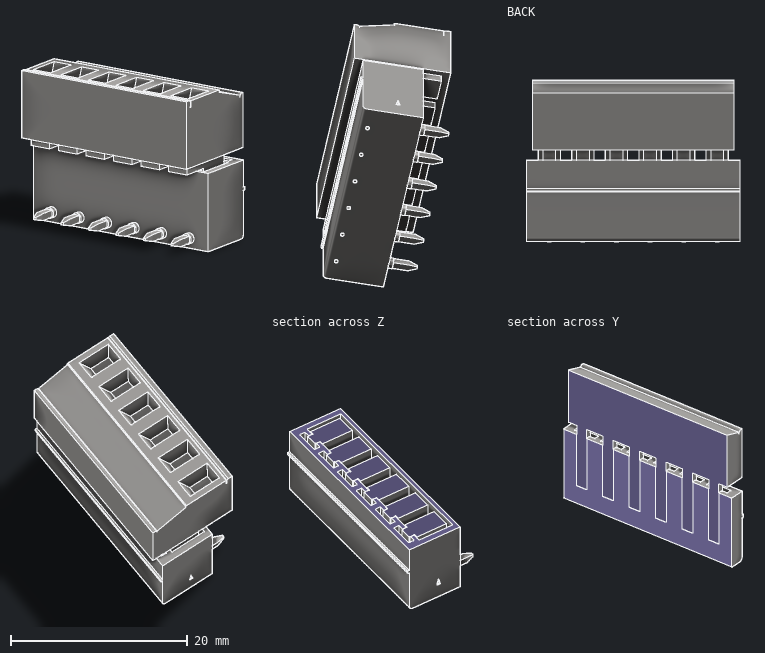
import cadquery as cq


OVERLAP = 0.12

POLE_COUNT = 6
PLUG_LENGTH = 22.87
PITCH = PLUG_LENGTH / POLE_COUNT
POLE_X = [(i - (POLE_COUNT - 1) / 2) * PITCH for i in range(POLE_COUNT)]

HEADER_LENGTH = 24.25
HEADER_DEPTH = 6.98
HEADER_HEIGHT = 9.25
HEADER_FILLET = 0.48
CAVITY_LENGTH = 22.6
CAVITY_FRONT = 0.53
CAVITY_BACK = 5.07
CAVITY_FLOOR = 2.42

KEYWAY_WIDTH = 2.95
KEYWAY_FRONT = 5.63
KEYWAY_BACK = 6.3
KEY_WIDTH = 1.45

RAIL_BOTTOM = 5.6
RAIL_TOP = 6.05
RAIL_HEIGHT = 0.25
RAIL_CHAMFER = 0.12

PIN_Z = 1.21
COLLAR_DIAMETER = 1.24
COLLAR_LENGTH = 0.58
PIN_WIDTH = 0.82
PIN_LENGTH = 3.42
PIN_TAPER_LENGTH = 1.02
PIN_TIP_WIDTH = 0.3

FOOT_DIAMETER = 0.41
FOOT_HEIGHT = 0.07
FOOT_Y = (KEYWAY_FRONT + KEYWAY_BACK) / 2

MARK_Y = 2.93
MARK_Z = 1.85
MARK_WIDTH = 0.41
MARK_HEIGHT = 0.75
MARK_DEPTH = 0.12

PLUG_FRONT = -3.3
PLUG_BACK = 7.85
PLUG_BOTTOM = 10.38
PLUG_DECK = 18.25

FRONT_LIP_TOP = 18.33
FRONT_LIP_BACK = -2.75
FRONT_LIP_BEVEL_WIDTH = 0.22
FRONT_LIP_BEVEL_DROP = 0.12
SLIT_WIDTH = 0.07
SLIT_BOTTOM = 17.5
SLIT_FRONT = FRONT_LIP_BACK + FRONT_LIP_BEVEL_WIDTH
SLIT_BACK = SLIT_FRONT + SLIT_WIDTH

DECK_BACK = 3.25
DECK_BEVEL_WIDTH = 0.12
DECK_BEVEL_DROP = 0.05
SLOPE_TOP_Y = 3.18
SLOPE_TOP_Z = 17.97
SLOPE_BOTTOM_Z = 16.68
GROOVE_Y = 7.25
BACK_LIP_TOP = 16.88
BACK_LIP_RADIUS = 0.4

FUNNEL_WIDTH = 2.35
FUNNEL_FRONT = -2.01
FUNNEL_BACK = 2.09
FUNNEL_FLOOR_WIDTH = 1.6
FUNNEL_FLOOR_FRONT = -1.77
FUNNEL_FLOOR_BACK = 0.7
FUNNEL_DEPTH = 2.3

FINGER_WIDTH = 2.55
SHOULDER_FRONT = -2.33
SHOULDER_BOTTOM = 9.38
TONGUE_FRONT = 0.97
TONGUE_BACK = 5.05
KEY_BACK = 5.77


def block(x, width, y_front, y_back, z_bottom, z_top):
    """Box centred on x, between the given Y and Z limits."""
    depth = y_back - y_front
    height = z_top - z_bottom
    middle_y = (y_front + y_back) / 2
    return cq.Workplane("XY").box(width, depth, height, centered=(True, True, False)).translate(
        (x, middle_y, z_bottom)
    )


def extrude_along_x(outline, length):
    """Extrude a closed YZ outline symmetrically about X = 0."""
    return outline.close().extrude(length / 2, both=True)




def header_box():
    box = block(0, HEADER_LENGTH, 0, HEADER_DEPTH, 0, HEADER_HEIGHT)
    return box.edges("|X and >Y and <Z").fillet(HEADER_FILLET)


def cavity():
    return block(0, CAVITY_LENGTH, CAVITY_FRONT, CAVITY_BACK, CAVITY_FLOOR, HEADER_HEIGHT)


def keyway(x):
    pocket = block(x, KEYWAY_WIDTH, KEYWAY_FRONT, KEYWAY_BACK, CAVITY_FLOOR, HEADER_HEIGHT)
    neck = block(x, KEY_WIDTH, CAVITY_BACK, KEYWAY_FRONT, CAVITY_FLOOR, HEADER_HEIGHT)
    return pocket.union(neck)


def latching_rail():
    outer_y = HEADER_DEPTH + RAIL_HEIGHT
    outline = (
        cq.Workplane("YZ")
        .moveTo(HEADER_DEPTH - OVERLAP, RAIL_BOTTOM)
        .lineTo(outer_y - RAIL_CHAMFER, RAIL_BOTTOM)
        .lineTo(outer_y, RAIL_BOTTOM + RAIL_CHAMFER)
        .lineTo(outer_y, RAIL_TOP)
        .lineTo(HEADER_DEPTH - OVERLAP, RAIL_TOP)
    )
    return extrude_along_x(outline, HEADER_LENGTH)


def pin(x):
    """Round collar, square shank and tapered tip, pointing along -Y."""
    shank_end = PIN_LENGTH - PIN_TAPER_LENGTH
    base = cq.Workplane("XZ", origin=(x, 0, PIN_Z))
    collar = base.workplane(offset=-OVERLAP).circle(COLLAR_DIAMETER / 2).extrude(COLLAR_LENGTH + OVERLAP)
    shank = base.rect(PIN_WIDTH, PIN_WIDTH).extrude(shank_end)
    tip = (
        base.workplane(offset=shank_end)
        .rect(PIN_WIDTH, PIN_WIDTH)
        .workplane(offset=PIN_TAPER_LENGTH)
        .rect(PIN_TIP_WIDTH, PIN_TIP_WIDTH)
        .loft(ruled=True)
    )
    return collar.union(shank).union(tip)


def foot(x):
    start = cq.Workplane("XY", origin=(x, FOOT_Y, -FOOT_HEIGHT))
    return start.circle(FOOT_DIAMETER / 2).extrude(FOOT_HEIGHT + OVERLAP)


def pole_mark():
    return (
        cq.Workplane("YZ", origin=(-HEADER_LENGTH / 2, MARK_Y, MARK_Z))
        .moveTo(-MARK_WIDTH / 2, 0)
        .lineTo(MARK_WIDTH / 2, 0)
        .lineTo(0, MARK_HEIGHT)
        .close()
        .extrude(MARK_DEPTH)
    )


def make_header():
    body = header_box().cut(cavity()).union(latching_rail()).cut(pole_mark())
    for x in POLE_X:
        body = body.cut(keyway(x)).union(pin(x)).union(foot(x))
    return body




def plug_block():
    """Plug profile, from the bottom front corner up over the decks to the back."""
    lip_front_y = GROOVE_Y + BACK_LIP_RADIUS
    groove_z = BACK_LIP_TOP - BACK_LIP_RADIUS
    arc_inset = BACK_LIP_RADIUS * 0.5 ** 0.5
    outline = (
        cq.Workplane("YZ")
        .moveTo(PLUG_FRONT, PLUG_BOTTOM)
        .lineTo(PLUG_FRONT, FRONT_LIP_TOP)
        .lineTo(FRONT_LIP_BACK, FRONT_LIP_TOP)
        .lineTo(SLIT_FRONT, FRONT_LIP_TOP - FRONT_LIP_BEVEL_DROP)
        .lineTo(SLIT_FRONT, SLIT_BOTTOM)
        .lineTo(SLIT_BACK, SLIT_BOTTOM)
        .lineTo(SLIT_BACK, PLUG_DECK)
        .lineTo(DECK_BACK - DECK_BEVEL_WIDTH, PLUG_DECK)
        .lineTo(DECK_BACK, PLUG_DECK - DECK_BEVEL_DROP)
        .lineTo(SLOPE_TOP_Y, SLOPE_TOP_Z)
        .lineTo(GROOVE_Y, SLOPE_BOTTOM_Z)
        .lineTo(GROOVE_Y, groove_z)
        .threePointArc((lip_front_y - arc_inset, groove_z + arc_inset), (lip_front_y, BACK_LIP_TOP))
        .lineTo(PLUG_BACK, BACK_LIP_TOP)
        .lineTo(PLUG_BACK, PLUG_BOTTOM)
    )
    return extrude_along_x(outline, PLUG_LENGTH)


def wire_funnel(x):
    mouth_y = (FUNNEL_FRONT + FUNNEL_BACK) / 2
    floor_y = (FUNNEL_FLOOR_FRONT + FUNNEL_FLOOR_BACK) / 2
    return (
        cq.Workplane("XY", origin=(x, mouth_y, PLUG_DECK))
        .rect(FUNNEL_WIDTH, FUNNEL_BACK - FUNNEL_FRONT)
        .workplane(offset=-FUNNEL_DEPTH)
        .center(0, floor_y - mouth_y)
        .rect(FUNNEL_FLOOR_WIDTH, FUNNEL_FLOOR_BACK - FUNNEL_FLOOR_FRONT)
        .loft(ruled=True)
    )


def finger(x):
    top = PLUG_BOTTOM + OVERLAP
    shoulder = block(x, FINGER_WIDTH, SHOULDER_FRONT, TONGUE_BACK, SHOULDER_BOTTOM, top)
    tongue = block(x, FINGER_WIDTH, TONGUE_FRONT, TONGUE_BACK, CAVITY_FLOOR, top)
    key = block(x, KEY_WIDTH, TONGUE_FRONT, KEY_BACK, CAVITY_FLOOR, top)
    return shoulder.union(tongue).union(key)


def make_plug():
    body = plug_block()
    for x in POLE_X:
        body = body.cut(wire_funnel(x)).union(finger(x))
    return body


header = make_header()
plug = make_plug()

result = cq.Compound.makeCompound([header.solids().val(), plug.solids().val()])